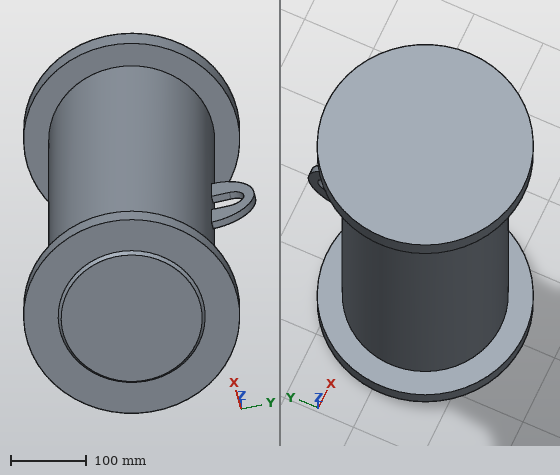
import cadquery as cq

total_height = 560.0
flange_diameter = 285.0
column_diameter = 219.0
top_flange_thickness = 30.0
bottom_flange_thickness = 25.0

boss_height = 5.0
boss_upper_diameter = 194.0
boss_lower_diameter = 186.0

lug_thickness = 10.0
lug_radius = 57.0
lug_reach = 167.5
lug_rim = 14.0
slot_width = 39.0
lug_root = column_diameter / 2 - 5.5
lug_height = total_height / 2


def make_column():
    """Turn the boss, both flanges and the column as one profile."""
    flange_radius = flange_diameter / 2
    column_radius = column_diameter / 2
    bottom_flange_top = boss_height + bottom_flange_thickness
    top_flange_bottom = total_height - top_flange_thickness
    profile = [
        (0, 0),
        (boss_lower_diameter / 2, 0),
        (boss_upper_diameter / 2, boss_height),
        (flange_radius, boss_height),
        (flange_radius, bottom_flange_top),
        (column_radius, bottom_flange_top),
        (column_radius, top_flange_bottom),
        (flange_radius, top_flange_bottom),
        (flange_radius, total_height),
        (0, total_height),
    ]
    return cq.Workplane("XZ").polyline(profile).close().revolve(360, (0, 0), (0, 1))


def round_ended_tab(tip, radius):
    """Flat tab in the YZ plane, from the lug root to a half-round tip."""
    arc_centre = tip - radius
    return (
        cq.Workplane("YZ", origin=(0, 0, lug_height))
        .moveTo(lug_root, -radius)
        .lineTo(arc_centre, -radius)
        .threePointArc((tip, 0), (arc_centre, radius))
        .lineTo(lug_root, radius)
        .close()
        .extrude(lug_thickness / 2, both=True)
    )


def make_lug():
    """Cut the round-ended slot out of the half-round lug."""
    plate = round_ended_tab(lug_reach, lug_radius)
    slot = round_ended_tab(lug_reach - lug_rim, slot_width / 2)
    return plate.cut(slot)


result = make_column().union(make_lug())